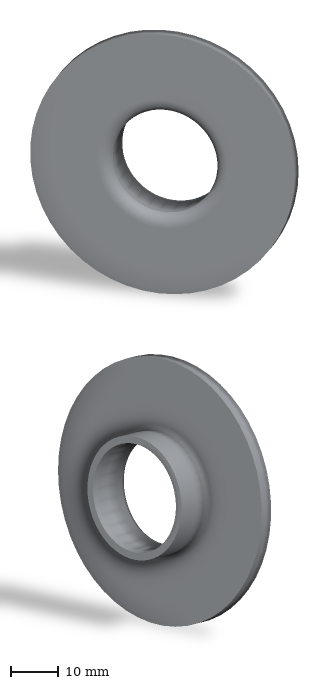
import cadquery as cq
import math

flange_diameter = 58.0
flange_thickness = 3.0
total_length = 11.0
sleeve_diameter = 26.8
throat_diameter = 22.9
back_bore_diameter = 23.6

throat_depth = 2.2
mouth_radius = 2.9
root_height = 1.0
root_radius = 1.2

flange_r = flange_diameter / 2
sleeve_r = sleeve_diameter / 2
throat_r = throat_diameter / 2
back_bore_r = back_bore_diameter / 2


def arc_offset(radius, turn):
    """X and Y travelled along an arc that leaves a flange surface tangentially."""
    return radius * math.sin(turn), radius * (1 - math.cos(turn))


def rounding(radius, height, wall_x, flange_y):
    """Start and middle points of the arc from the flange at flange_y up to wall_x."""
    turn = math.acos(1 - height / radius)
    width, _ = arc_offset(radius, turn)
    half_width, half_height = arc_offset(radius, turn / 2)
    start = (wall_x + width, flange_y)
    middle = (start[0] - half_width, flange_y + half_height)
    return start, middle


def half_section():
    """Half section in the XY plane, X being the distance from the axis."""
    mouth_start, mouth_middle = rounding(mouth_radius, throat_depth, throat_r, 0)
    root_start, root_middle = rounding(root_radius, root_height, sleeve_r, flange_thickness)
    return (
        cq.Workplane("XY")
        .moveTo(*mouth_start)
        .lineTo(flange_r, 0)
        .lineTo(flange_r, flange_thickness)
        .lineTo(*root_start)
        .threePointArc(root_middle, (sleeve_r, flange_thickness + root_height))
        .lineTo(sleeve_r, total_length)
        .lineTo(back_bore_r, total_length)
        .lineTo(throat_r, throat_depth)
        .threePointArc(mouth_middle, mouth_start)
        .close()
    )


result = half_section().revolve(360, (0, 0, 0), (0, 1, 0))